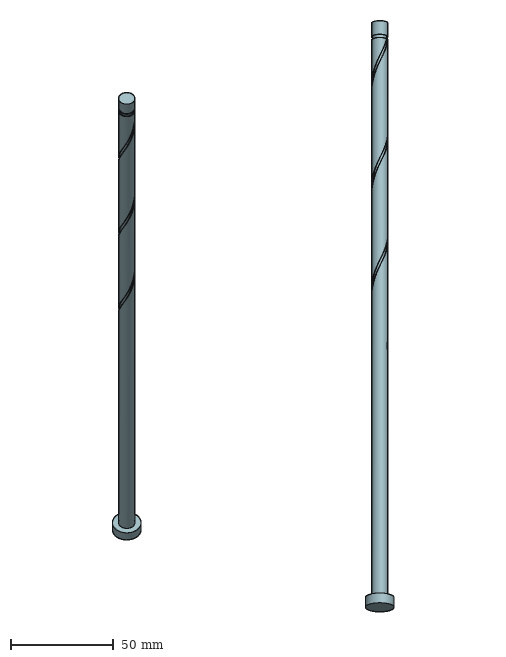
import cadquery as cq

TOTAL_LENGTH = 300.0
HEAD_DIAMETER = 14.0
HEAD_HEIGHT = 5.0
SHAFT_DIAMETER = 8.0

TIP_LENGTH = 7.0
NECK_LENGTH = 1.6
NECK_DIAMETER = 7.2

HELIX_PITCH = 52.5
HELIX_TURNS = 3
GROOVE_WIDTH = 3.0
GROOVE_DEPTH = 0.4
CUTTER_OVERSHOOT = 0.5
HELIX_END_ANGLE = 90.0

SHAFT_RADIUS = SHAFT_DIAMETER / 2
NECK_BOTTOM = TOTAL_LENGTH - TIP_LENGTH - NECK_LENGTH
HELIX_TOP = NECK_BOTTOM
HELIX_HEIGHT = HELIX_PITCH * HELIX_TURNS


def cylinder(diameter, bottom, height):
    """Upright cylinder on the pin axis."""
    return cq.Workplane("XY").workplane(offset=bottom).circle(diameter / 2).extrude(height)


def ring_groove():
    """Ring that narrows the shaft to the neck diameter."""
    outer = cylinder(HEAD_DIAMETER, NECK_BOTTOM, NECK_LENGTH)
    return outer.cut(cylinder(NECK_DIAMETER, NECK_BOTTOM, NECK_LENGTH))


def helical_groove():
    """Right-handed rectangular cutter that starts and ends on the +Y side."""
    path = cq.Wire.makeHelix(HELIX_PITCH, HELIX_HEIGHT, SHAFT_RADIUS)
    radial_size = GROOVE_DEPTH + CUTTER_OVERSHOOT
    radial_centre = SHAFT_RADIUS - GROOVE_DEPTH + radial_size / 2
    cutter = (
        cq.Workplane("XZ")
        .center(radial_centre, 0)
        .rect(radial_size, GROOVE_WIDTH)
        .sweep(path, isFrenet=True)
    )
    return cutter.rotate((0, 0, 0), (0, 0, 1), HELIX_END_ANGLE).translate((0, 0, HELIX_TOP - HELIX_HEIGHT))


head = cylinder(HEAD_DIAMETER, 0, HEAD_HEIGHT)
shaft = cylinder(SHAFT_DIAMETER, 0, TOTAL_LENGTH)
result = head.union(shaft).cut(helical_groove()).cut(ring_groove())